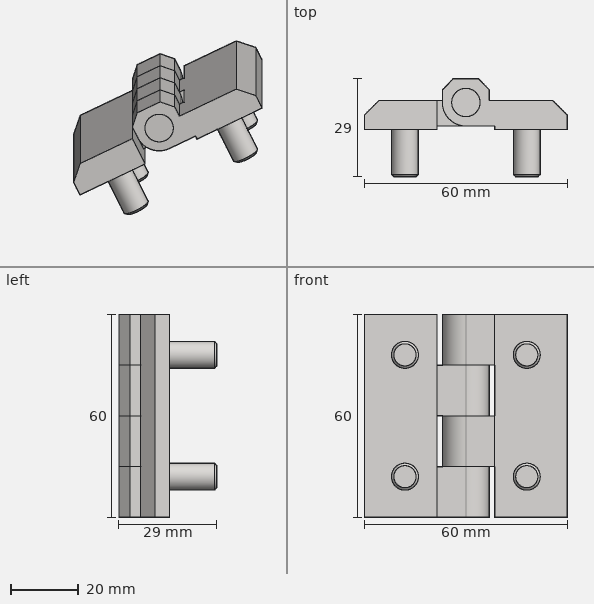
import cadquery as cq

width = 60.0
height = 60.0
plate_thickness = 8.6
plate_chamfer = 4.3
plate_inner_edge = 8.5

knuckle_count = 4
knuckle_height = height / knuckle_count
knuckle_radius = 6.95
knuckle_base = 1.0
knuckle_top = 15.0
knuckle_chamfer_x = 3.2
knuckle_chamfer_y = 3.3
axis_y = knuckle_base + knuckle_radius

pin_radius = 4.2

stud_diameter = 8.0
stud_length = 14.0
stud_chamfer = 0.7
stud_spacing = 36.0


def make_plate():
    """Flat right-hand plate with its outer back edge chamfered."""
    outer_edge = width / 2
    return (
        cq.Workplane("XY")
        .moveTo(plate_inner_edge, 0)
        .lineTo(outer_edge, 0)
        .lineTo(outer_edge, plate_thickness - plate_chamfer)
        .lineTo(outer_edge - plate_chamfer, plate_thickness)
        .lineTo(plate_inner_edge, plate_thickness)
        .close()
        .extrude(height)
    )


def make_knuckle(bottom_z):
    """Knuckle round toward the gap, with a chamfered back and an arm reaching the plate."""
    flat_half_width = knuckle_radius - knuckle_chamfer_x
    chamfer_start_y = knuckle_top - knuckle_chamfer_y
    return (
        cq.Workplane("XY", origin=(0, 0, bottom_z))
        .moveTo(plate_inner_edge, knuckle_base)
        .lineTo(plate_inner_edge, plate_thickness)
        .lineTo(knuckle_radius, plate_thickness)
        .lineTo(knuckle_radius, chamfer_start_y)
        .lineTo(flat_half_width, knuckle_top)
        .lineTo(-flat_half_width, knuckle_top)
        .lineTo(-knuckle_radius, chamfer_start_y)
        .lineTo(-knuckle_radius, axis_y)
        .radiusArc((0, knuckle_base), -knuckle_radius)
        .close()
        .extrude(knuckle_height)
    )


def make_stud(center_z):
    """Stud pointing toward -Y from the plate, with a chamfered tip."""
    return (
        cq.Workplane("XZ", origin=(stud_spacing / 2, 0, center_z))
        .circle(stud_diameter / 2)
        .extrude(stud_length)
        .faces("<Y")
        .chamfer(stud_chamfer)
    )


def make_pin():
    """Plain pin running the full height of the hinge."""
    return cq.Workplane("XY").center(0, axis_y).circle(pin_radius).extrude(height)


def make_leaf(first_knuckle):
    """Right-hand leaf: plate, every second knuckle, two studs and the pin bore."""
    leaf = make_plate()
    for index in range(first_knuckle, knuckle_count, 2):
        leaf = leaf.union(make_knuckle(index * knuckle_height))
    for side in (-1, 1):
        leaf = leaf.union(make_stud((height + side * stud_spacing) / 2))
    return leaf.cut(make_pin()).solids()


right_leaf = make_leaf(first_knuckle=1)
left_leaf = make_leaf(first_knuckle=0).mirror("YZ").solids()
pin = make_pin()

result = cq.Compound.makeCompound([left_leaf.val(), right_leaf.val(), pin.val()])